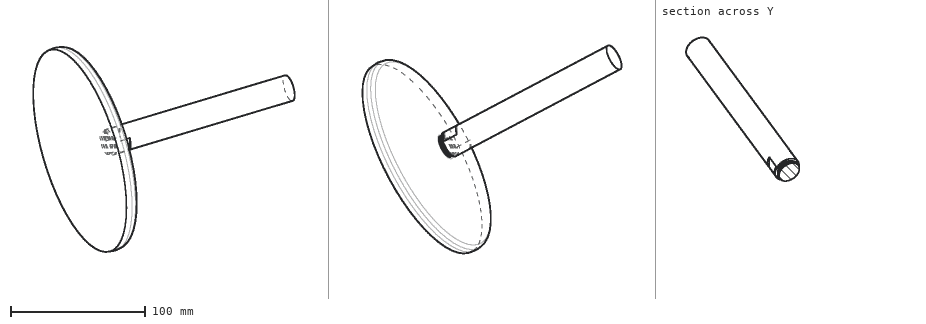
import cadquery as cq
import math

overall_length = 174.0

rim_radius = 158.0 / 2
rim_height = 4.2
underside_radius = 78.5
shoulder_radius = 78.5
shoulder_height = 7.3
cone_foot_radius = 75.9
cone_foot_height = 9.7
cone_top_radius = 10.0
cone_top_height = 21.0

stem_radius = 20.0 / 2
stem_start = 24.5
neck_top_radius = 8.0
neck_foot_radius = 8.7
upper_groove_radius = 7.1
upper_groove_height = 23.7
neck_ridge_radius = 8.9
neck_ridge_height = 22.8
lower_groove_radius = 8.2
lower_groove_height = 22.1

flats_width = 17.0
flats_start = 25.8
flats_end = 37.4


def revolve_about_y(profile):
    """Turn a closed radius-height profile fully around the Y axis."""
    return profile.close().revolve(360, (0, 0, 0), (0, 1, 0))


def shoulder_midpoint():
    """Middle of the shoulder arc, which leaves the cone tangentially."""
    slope = math.atan2(cone_top_height - cone_foot_height, cone_foot_radius - cone_top_radius)
    across = shoulder_radius - cone_foot_radius
    drop = cone_foot_height - shoulder_height
    half_turn = math.atan2(drop, across) - slope
    bulge = math.hypot(across, drop) / 2 * math.tan(half_turn / 2)
    chord_angle = math.atan2(drop, across)
    return (
        (cone_foot_radius + shoulder_radius) / 2 + bulge * math.sin(chord_angle),
        (cone_foot_height + shoulder_height) / 2 + bulge * math.cos(chord_angle),
    )


def make_foot():
    """Conical foot plate with a rounded shoulder and a slightly crowned rim."""
    profile = (
        cq.Workplane("XY")
        .lineTo(underside_radius, 0)
        .lineTo(rim_radius, rim_height)
        .lineTo(shoulder_radius, shoulder_height)
        .threePointArc(shoulder_midpoint(), (cone_foot_radius, cone_foot_height))
        .lineTo(cone_top_radius, cone_top_height)
        .lineTo(0, cone_top_height)
    )
    return revolve_about_y(profile)


def cut_wrench_flats(stem):
    """Cut two opposite flats, facing -X and +X, near the neck."""
    flats_length = flats_end - flats_start
    cut_depth = stem_radius - flats_width / 2
    for side in (-1, 1):
        cutter = cq.Workplane("XY").box(cut_depth, flats_length, 2 * stem_radius)
        cutter = cutter.translate(
            (side * (flats_width + cut_depth) / 2, (flats_start + flats_end) / 2, 0)
        )
        stem = stem.cut(cutter)
    return stem


def make_stem():
    """Plain round stem on a ridged neck that stands on the top of the foot."""
    profile = (
        cq.Workplane("XY")
        .moveTo(0, cone_top_height)
        .lineTo(neck_foot_radius, cone_top_height)
        .lineTo(lower_groove_radius, lower_groove_height)
        .lineTo(neck_ridge_radius, neck_ridge_height)
        .lineTo(upper_groove_radius, upper_groove_height)
        .lineTo(neck_top_radius, stem_start)
        .lineTo(stem_radius, stem_start)
        .lineTo(stem_radius, overall_length)
        .lineTo(0, overall_length)
    )
    return cut_wrench_flats(revolve_about_y(profile))


foot = make_foot()
stem = make_stem()

result = cq.Compound.makeCompound([foot.val(), stem.val()])